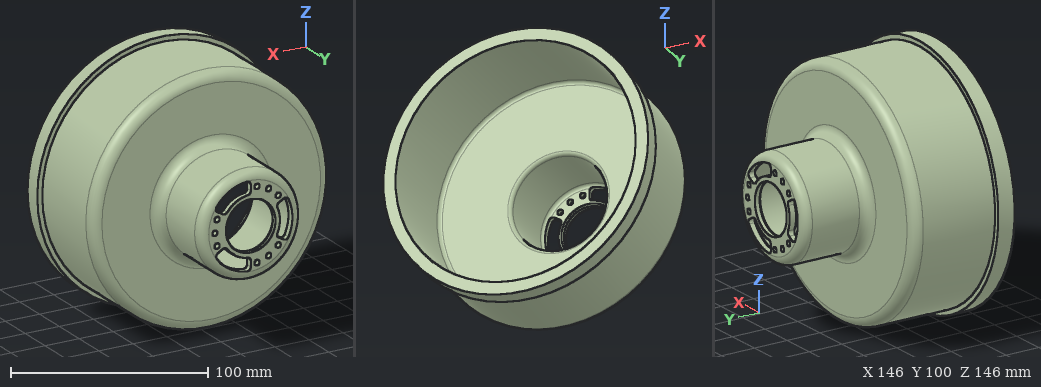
import math

import cadquery as cq

rim_radius = 73.0
total_length = 100.0
wall = 4.0

rim_length = 10.1
drum_radius = 70.1
drum_length = 60.0
drum_edge_radius = 6.0
drum_bore_radius = drum_radius - wall
drum_floor_radius = 2.0

neck_radius = 30.0
neck_edge_radius = 5.3
neck_root_radius = 6.0
neck_bore_radius = neck_radius - wall
neck_entry_radius = 2.0
neck_floor_radius = 2.0

center_hole_radius = 14.5
center_chamfer = 1.0
slot_inner_radius = 17.1
slot_outer_radius = 24.4
slot_corner_radius = 2.0
pin_hole_radius = 1.5
pin_circle_radius = 21.0
pin_spacing_deg = 20
group_count = 3
group_pitch_deg = 360 / group_count
slot_span_deg = group_pitch_deg / 2

front_y = -total_length / 2
back_y = front_y + total_length
drum_back_y = front_y + drum_length
drum_floor_y = drum_back_y - wall
plate_y = back_y - wall
cutter_depth = wall + neck_floor_radius


def corner_mid(center_x, center_y, radius, x_side, y_side):
    """Middle of a quarter-round, on the given side of its centre."""
    reach = radius * math.sqrt(0.5)
    return (center_x + x_side * reach, center_y + y_side * reach)


def make_shell():
    """Revolve the wall section (radius along X, length along Y)."""
    drum_edge = (drum_radius - drum_edge_radius, drum_back_y - drum_edge_radius)
    neck_root = (neck_radius + neck_root_radius, drum_back_y + neck_root_radius)
    neck_edge = (neck_radius - neck_edge_radius, back_y - neck_edge_radius)
    neck_floor = (neck_bore_radius - neck_floor_radius, plate_y - neck_floor_radius)
    neck_entry = (neck_bore_radius + neck_entry_radius, drum_floor_y + neck_entry_radius)
    drum_floor = (drum_bore_radius - drum_floor_radius, drum_floor_y - drum_floor_radius)

    section = (
        cq.Workplane("XY")
        .moveTo(drum_bore_radius, front_y)
        .lineTo(rim_radius, front_y)
        .lineTo(rim_radius, front_y + rim_length)
        .lineTo(drum_radius, front_y + rim_length)
        .lineTo(drum_radius, drum_edge[1])
        .threePointArc(corner_mid(*drum_edge, drum_edge_radius, 1, 1), (drum_edge[0], drum_back_y))
        .lineTo(neck_root[0], drum_back_y)
        .threePointArc(corner_mid(*neck_root, neck_root_radius, -1, -1), (neck_radius, neck_root[1]))
        .lineTo(neck_radius, neck_edge[1])
        .threePointArc(corner_mid(*neck_edge, neck_edge_radius, 1, 1), (neck_edge[0], back_y))
        .lineTo(center_hole_radius, back_y)
        .lineTo(center_hole_radius, plate_y + center_chamfer)
        .lineTo(center_hole_radius + center_chamfer, plate_y)
        .lineTo(neck_floor[0], plate_y)
        .threePointArc(corner_mid(*neck_floor, neck_floor_radius, 1, 1), (neck_bore_radius, neck_floor[1]))
        .lineTo(neck_bore_radius, neck_entry[1])
        .threePointArc(corner_mid(*neck_entry, neck_entry_radius, -1, -1), (neck_entry[0], drum_floor_y))
        .lineTo(drum_floor[0], drum_floor_y)
        .threePointArc(corner_mid(*drum_floor, drum_floor_radius, 1, 1), (drum_bore_radius, drum_floor[1]))
        .close()
    )
    return section.revolve(360, (0, 0, 0), (0, 1, 0))


def polar(radius, angle_deg):
    """Point at a radius and angle from the axis, in the end plate plane."""
    angle = math.radians(angle_deg)
    return (radius * math.cos(angle), radius * math.sin(angle))


def end_plate_plane():
    """Workplane on the outer face of the end plate: local x is X, local y is Z, normal is -Y."""
    return cq.Workplane("XZ", origin=(0, back_y, 0))


def make_slot(center_deg):
    """Rounded ring-sector cutter through the end plate."""
    start = center_deg - slot_span_deg / 2
    end = center_deg + slot_span_deg / 2
    return (
        end_plate_plane()
        .moveTo(*polar(slot_inner_radius, start))
        .lineTo(*polar(slot_outer_radius, start))
        .threePointArc(polar(slot_outer_radius, center_deg), polar(slot_outer_radius, end))
        .lineTo(*polar(slot_inner_radius, end))
        .threePointArc(polar(slot_inner_radius, center_deg), polar(slot_inner_radius, start))
        .close()
        .extrude(cutter_depth)
        .edges("|Y")
        .fillet(slot_corner_radius)
    )


def make_pin_holes(center_deg):
    """Three small round cutters, centred between two slots."""
    angles = [center_deg + step * pin_spacing_deg for step in (-1, 0, 1)]
    centers = [polar(pin_circle_radius, angle) for angle in angles]
    return end_plate_plane().pushPoints(centers).circle(pin_hole_radius).extrude(cutter_depth)


result = make_shell()
for group in range(group_count):
    pin_center_deg = group * group_pitch_deg
    slot_center_deg = pin_center_deg + group_pitch_deg / 2
    result = result.cut(make_pin_holes(pin_center_deg))
    result = result.cut(make_slot(slot_center_deg))